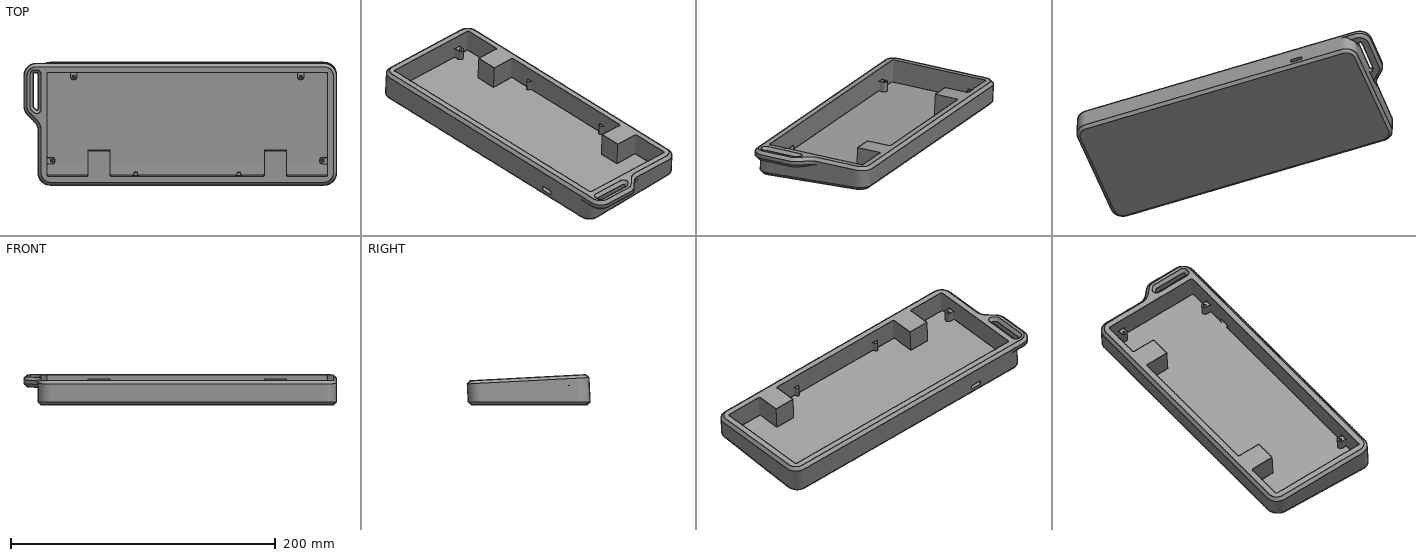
import cadquery as cq
import math


TOTAL_WIDTH = 236.3
TILT = 3.0
FRONT_HEIGHT = 18.2
BODY_WIDTH = 225.7
BODY_DEPTH = 92.2
CORNER_RADIUS = 9.5
EDGE_CHAMFER = 2.4
BLANK_HEIGHT = 28.4

WALL = 6.9
CAVITY_DEPTH = 18.0
MIN_FLOOR = 1.06
INNER_FILLET = 1.0
BLOCK_OFFSET = 66.6
BLOCK_WIDTH = 16.8
BLOCK_BACK = 26.0

TAB_REACH = TOTAL_WIDTH - BODY_WIDTH
TAB_THICKNESS = 7.5
TAB_FRONT = 45.4
SLOT_MARGIN = 7.0
SLOT_FILLET = 1.0

POST_DIAMETER = 4.7
POST_HOLE = 1.8
POST_TOP = 10.2
POST_INSET = 3.5
BACK_POST_OFFSET = 85.8
SIDE_POST_Y = 18.0

NUB_OFFSET = 39.0
NUB_RADIUS = 1.5
NUB_INSET = 1.06

PORT_OFFSET = -BLOCK_OFFSET
PORT_WIDTH = 9.0
PORT_HEIGHT = 3.3
PORT_FILLET = 1.5

LEFT = -BODY_WIDTH / 2
TAB_LEFT = LEFT - TAB_REACH
CAVITY_BACK = BODY_DEPTH - WALL
CAVITY_RIGHT = BODY_WIDTH / 2 - WALL
POST_RADIUS = POST_DIAMETER / 2

TOUCHING = 0.002


def box(x_min, x_max, y_min, y_max, z_min, z_max):
    """Block between the given limits."""
    size = (x_max - x_min, y_max - y_min, z_max - z_min)
    return cq.Workplane("XY").box(*size, centered=False).translate((x_min, y_min, z_min))


def body_blank():
    """Rounded block below the rim chamfer, long enough to be cut flat later."""
    blank = box(LEFT, -LEFT, 0, BODY_DEPTH, -BLANK_HEIGHT, -EDGE_CHAMFER)
    return blank.edges("|Z").fillet(CORNER_RADIUS)


def rim_plate():
    """Chamfered top layer that covers the tray and reaches out as the strap tab."""
    outline = [
        (LEFT, 0),
        (-LEFT, 0),
        (-LEFT, BODY_DEPTH),
        (TAB_LEFT, BODY_DEPTH),
        (TAB_LEFT, TAB_FRONT + TAB_REACH),
        (LEFT, TAB_FRONT),
    ]
    plate = cq.Workplane("XY").polyline(outline).close().extrude(-TAB_THICKNESS)
    plate = plate.edges("|Z").fillet(CORNER_RADIUS)
    return plate.faces("<Z or >Z").edges().chamfer(EDGE_CHAMFER)


def strap_slot():
    """Slot following the tab outline, flared at the rim by the edge chamfer."""
    slot_left = TAB_LEFT + SLOT_MARGIN
    slot_back = BODY_DEPTH - SLOT_MARGIN
    slant_at_body = TAB_FRONT + SLOT_MARGIN * math.sqrt(2)
    outline = [
        (slot_left, slot_back),
        (LEFT, slot_back),
        (LEFT, slant_at_body),
        (slot_left, slant_at_body + LEFT - slot_left),
    ]
    slot = cq.Workplane("XY").polyline(outline).close().extrude(-TAB_THICKNESS)
    slot = slot.edges("|Z").fillet(SLOT_FILLET)
    flare_base = slot.faces(">Z").wires().val().translate(cq.Vector(0, 0, -EDGE_CHAMFER))
    flare = cq.Workplane("XY").add(flare_base).toPending().extrude(EDGE_CHAMFER, taper=-45)
    return slot.union(flare)


def post_centers():
    """Centres of the four screw posts, each with the direction of the wall that carries it."""
    centers = []
    for side in (-1, 1):
        centers.append((side * BACK_POST_OFFSET, CAVITY_BACK - POST_INSET, 0, 1))
        centers.append((side * (CAVITY_RIGHT - POST_INSET), SIDE_POST_Y, side, 0))
    return centers


def post(radius, x, y, wall_x, wall_y):
    """Round column with a straight web running into its wall."""
    column = cq.Workplane("XY").circle(radius).extrude(-BLANK_HEIGHT)
    web = box(-radius, radius, 0, WALL, -BLANK_HEIGHT, 0)
    angle = math.degrees(math.atan2(-wall_x, wall_y))
    return column.union(web).rotate((0, 0, 0), (0, 0, 1), angle).translate((x, y, 0))


def meets_wall(edge):
    """True for an edge lying in one of the four cavity walls."""
    middle = edge.Center()
    gaps = (middle.y - WALL, CAVITY_BACK - middle.y, CAVITY_RIGHT - abs(middle.x))
    return min(gaps) < TOUCHING


def round_wall_corners(pocket):
    """Round the upright pocket edges along the walls, including the post roots."""
    return pocket.edges("|Z").filter(meets_wall).fillet(INNER_FILLET)


def cavity():
    """Pocket down to the floor, leaving the front blocks, screw posts and nubs."""
    upper = box(-CAVITY_RIGHT, CAVITY_RIGHT, WALL, CAVITY_BACK, -POST_TOP, 0)
    lower = box(-CAVITY_RIGHT, CAVITY_RIGHT, WALL, CAVITY_BACK, -CAVITY_DEPTH, -POST_TOP)
    half_width = BLOCK_WIDTH / 2
    for x in (-BLOCK_OFFSET, BLOCK_OFFSET):
        block = box(x - half_width, x + half_width, 0, BLOCK_BACK, -BLANK_HEIGHT, 0)
        upper = upper.cut(block)
        lower = lower.cut(block)
    for center in post_centers():
        lower = lower.cut(post(POST_RADIUS, *center))
    for x in (-NUB_OFFSET, NUB_OFFSET):
        lower = lower.cut(post(NUB_RADIUS, x, WALL + NUB_INSET, 0, -1))
    return round_wall_corners(upper).union(round_wall_corners(lower))


def post_holes():
    """Screw holes from the post tops down to the floor."""
    points = [(x, y) for x, y, _, _ in post_centers()]
    holes = cq.Workplane("XY", origin=(0, 0, -CAVITY_DEPTH)).pushPoints(points)
    return holes.circle(POST_HOLE / 2).extrude(CAVITY_DEPTH - POST_TOP)


def cable_port():
    """Oblong opening through the back wall, resting on the floor."""
    port = box(-PORT_WIDTH / 2, PORT_WIDTH / 2, 0, 2 * WALL, 0, PORT_HEIGHT)
    port = port.edges("|Y").fillet(PORT_FILLET)
    return port.translate((PORT_OFFSET, CAVITY_BACK - INNER_FILLET, -CAVITY_DEPTH))


def tilt(shape):
    """Lean the rim back-side up and lift it to its height above the table."""
    return shape.rotate((0, 0, 0), (1, 0, 0), TILT).translate((0, 0, FRONT_HEIGHT))


def above(height):
    """Space above a level plane."""
    return box(2 * TAB_LEFT, -2 * TAB_LEFT, -BODY_DEPTH, 2 * BODY_DEPTH, height, 2 * BLANK_HEIGHT)


shell = body_blank().union(rim_plate()).cut(strap_slot())
shell = tilt(shell).intersect(above(0))
shell = shell.faces("<Z").edges().chamfer(EDGE_CHAMFER)

pocket = tilt(cavity().union(post_holes())).intersect(above(MIN_FLOOR))

result = shell.cut(pocket).cut(tilt(cable_port()))